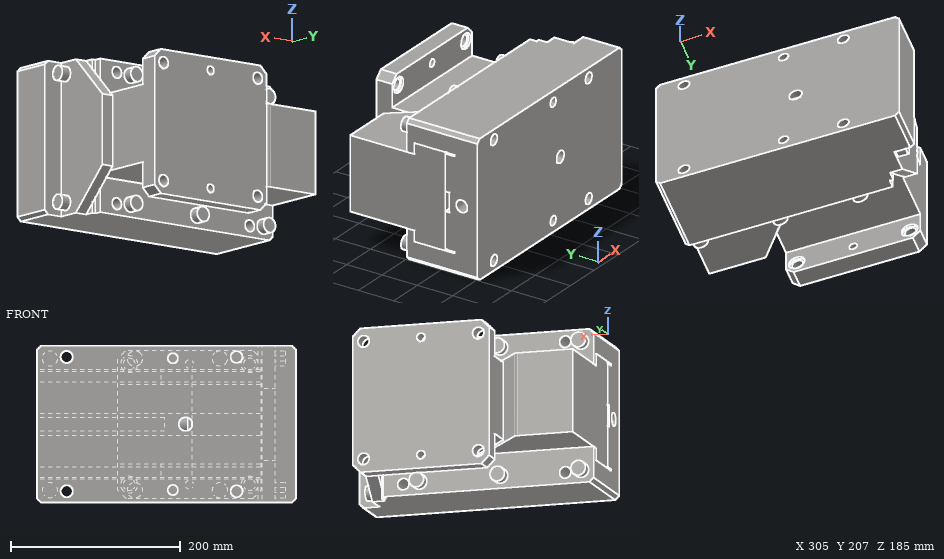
import cadquery as cq


length = 305.0
height = 185.0
base_depth = 51.5
depth = 100.0
corner_chamfer = 5.0
cover_start_x = 264.5
cover_end_x = 280.0
rail_end_x = 260.0
rail_notch_y = 90.5

cover_depth = 129.0
cover_chamfer = 50.0

neck_width = 100.0
slot_width = 129.0
slot_floor_y = 45.5
slot_shoulder_y = 89.5
relief_depth = 13.0
relief_width = 2.0
channel_depth = 5.5
channel_width = 26.0

mount_hole_diameter = 14.0
mount_hole_x = (35.0, 235.0)
mount_hole_z = 79.0
dowel_diameter = 12.0
dowel_hole_depth = 20.0
dowel_x = 160.0
dowel_z = 77.5
port_diameter = 16.0
port_x = 175.0
side_port_y = 22.0
side_port_end_x = 150.0
port_depth = 30.0
rib_diameter = 22.0
rib_axis_y = 18.5
rib_end_x = 177.5
ramp_end_x = 182.0
ramp_low_y = 22.0

head_diameter = 18.0
head_height = 12.5
rail_screw_x = (15.0, 115.0, 215.0)
screw_z = 77.5
cover_screw_y = 60.0

wedge_depth = 180.5
wedge_top_length = 71.0
wedge_corner_radius = 5.0
slope_base_x = 137.2
slope_run_per_depth = (slope_base_x - wedge_top_length) / (wedge_depth - depth)
wedge_tip_x = wedge_top_length + (wedge_depth - slot_floor_y) * slope_run_per_depth

slider_start_x = 94.8
slider_end_x = 263.5
slider_neck_width = 93.5
slider_body_end_x = 264.5
slider_step_y = 126.0
plate_front_y = 184.5
plate_back_y = 207.01
plate_height = 174.0
plate_chamfer = 9.5
plate_hole_diameter = 14.0
plate_counterbore_diameter = 20.0
plate_counterbore_depth = 3.0
plate_hole_inset_x = 13.5
plate_hole_inset_z = 16.0
plate_dowel_diameter = 10.0


def box(x_range, y_range, z_size):
    """Block between two X and two Y positions, centred on Z = 0."""
    (x0, x1), (y0, y1) = x_range, y_range
    return cq.Workplane("XY").box(x1 - x0, y1 - y0, z_size).translate(((x0 + x1) / 2, (y0 + y1) / 2, 0))


def rod_y(x, z, diameter, y0, y1):
    """Cylinder along Y between two Y positions."""
    return cq.Workplane("XZ", origin=(x, y0, z)).circle(diameter / 2).extrude(y0 - y1)


def rod_x(y, z, diameter, x0, x1):
    """Cylinder along X between two X positions."""
    return cq.Workplane("YZ", origin=(x0, y, z)).circle(diameter / 2).extrude(x1 - x0)


def slot_profile(x_end):
    """T section of the guide: wide foot on the slot floor and narrow neck out of the back."""
    foot = box((0, x_end), (slot_floor_y, slot_shoulder_y), slot_width)
    return foot.union(box((0, x_end), (slot_floor_y, wedge_depth), neck_width))


def beyond_slope():
    """Space on the +X side of the wedge's inclined face."""
    return (
        cq.Workplane("XY")
        .polyline([
            (wedge_top_length, wedge_depth),
            (wedge_tip_x, slot_floor_y),
            (length, slot_floor_y),
            (length, wedge_depth),
        ])
        .close()
        .extrude(height, both=True)
    )


def front_port():
    """Round port in the mounting face, with a rounded rib and a ramp across its floor."""
    ramp_high_y = ramp_low_y - (ramp_end_x - rib_end_x) / slope_run_per_depth
    ramp = (
        cq.Workplane("XY")
        .polyline([
            (rib_end_x, ramp_low_y),
            (ramp_end_x, ramp_high_y),
            (ramp_end_x, port_depth),
            (rib_end_x, port_depth),
        ])
        .close()
        .extrude(port_diameter, both=True)
    )
    rib_start_x = port_x - port_diameter
    rib = rod_x(rib_axis_y, 0, rib_diameter, rib_start_x, rib_end_x)
    rib = rib.union(box((rib_start_x, rib_end_x), (rib_axis_y, port_depth), rib_diameter))
    return rod_y(port_x, 0, port_diameter, 0, port_depth).cut(rib).cut(ramp)


def make_housing():
    base = box((0, length), (0, base_depth), height).edges("|Y").chamfer(corner_chamfer)
    rails = box((0, cover_start_x), (base_depth, depth), height)
    rails = rails.edges("|Y and <X").chamfer(corner_chamfer)

    slot_core = box((0, length), (0, depth), slot_width)
    corner = box((rail_end_x, cover_start_x), (rail_notch_y, depth), height)
    rails = rails.cut(corner.cut(slot_core))

    cover = box((cover_start_x, cover_end_x), (base_depth, cover_depth), height)
    cover = cover.edges("|X and >Y").chamfer(cover_chamfer)
    body = base.union(rails).cut(slot_profile(cover_start_x)).union(cover)

    relief_z = (slot_width - relief_width) / 2
    relief = box((0, cover_start_x), (slot_floor_y - relief_depth, slot_floor_y), relief_width)
    for side in (-1, 1):
        body = body.cut(relief.translate((0, 0, side * relief_z)))
    body = body.cut(box((0, cover_start_x), (slot_floor_y - channel_depth, slot_floor_y), channel_width))

    for side in (-1, 1):
        for x in mount_hole_x:
            body = body.cut(rod_y(x, side * mount_hole_z, mount_hole_diameter, 0, depth))
        body = body.cut(rod_y(dowel_x, side * dowel_z, dowel_diameter, 0, dowel_hole_depth))
    body = body.cut(front_port())
    body = body.cut(rod_x(side_port_y, 0, port_diameter, 0, side_port_end_x))

    for side in (-1, 1):
        for x in rail_screw_x:
            body = body.union(rod_y(x, side * screw_z, head_diameter, depth, depth + head_height))
        cover_head = rod_x(cover_screw_y, side * screw_z, head_diameter, cover_end_x, cover_end_x + head_height)
        body = body.union(cover_head)
    return body


def make_wedge():
    wedge = slot_profile(cover_start_x).cut(beyond_slope())
    return wedge.edges("|Z").edges(">Y").edges(">X").fillet(wedge_corner_radius)


def make_slider():
    foot = box((0, slider_body_end_x), (slot_floor_y, slot_shoulder_y), slot_width)
    body = box((0, slider_body_end_x), (slot_floor_y, slider_step_y), slider_neck_width)
    body = body.union(foot).intersect(beyond_slope())
    neck = box((slider_start_x, slider_end_x), (slider_step_y, plate_front_y), slider_neck_width)
    neck = neck.cut(slot_profile(cover_start_x).cut(beyond_slope()))

    plate = box((slider_start_x, slider_end_x), (plate_front_y, plate_back_y), plate_height)
    plate = plate.edges("|Y").chamfer(plate_chamfer)

    counterbore_end = plate_front_y + plate_counterbore_depth
    mid_x = (slider_start_x + slider_end_x) / 2
    hole_z = plate_height / 2 - plate_hole_inset_z
    for side in (-1, 1):
        z = side * hole_z
        for x in (slider_start_x + plate_hole_inset_x, slider_end_x - plate_hole_inset_x):
            plate = plate.cut(rod_y(x, z, plate_hole_diameter, plate_front_y, plate_back_y))
            plate = plate.cut(rod_y(x, z, plate_counterbore_diameter, plate_front_y, counterbore_end))
        plate = plate.cut(rod_y(mid_x, z, plate_dowel_diameter, plate_front_y, plate_back_y))
    return body.union(neck).union(plate)


housing = make_housing().solids()
wedge = make_wedge().solids()
slider = make_slider().solids()

result = cq.Compound.makeCompound([housing.val(), wedge.val(), slider.val()])